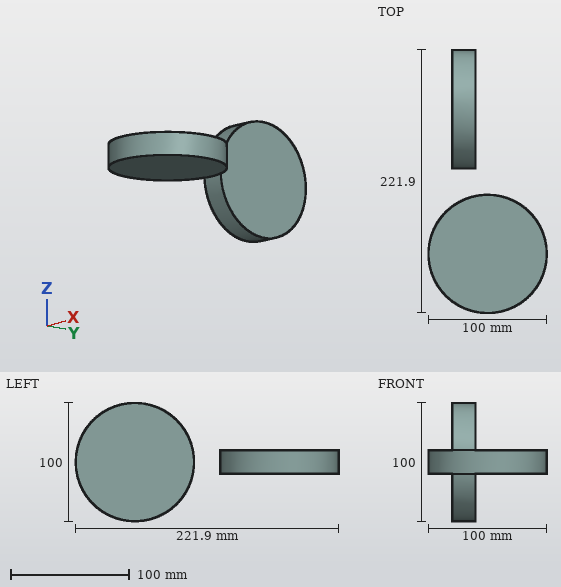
import cadquery as cq

disc_diameter = 100.0
disc_thickness = 20.0

centre_spacing_y = 121.89
upright_centre_x = -disc_thickness


def make_disc(plane_name, centre):
    """Plain disc lying parallel to the named plane, with its middle at centre."""
    end_face = cq.Workplane(plane_name, origin=centre).workplane(offset=-disc_thickness / 2)
    return end_face.circle(disc_diameter / 2).extrude(disc_thickness)


flat_disc = make_disc("XY", (0, 0, 0))

upright_disc = make_disc("YZ", (upright_centre_x, centre_spacing_y, 0))

result = cq.Compound.makeCompound([flat_disc.val(), upright_disc.val()])